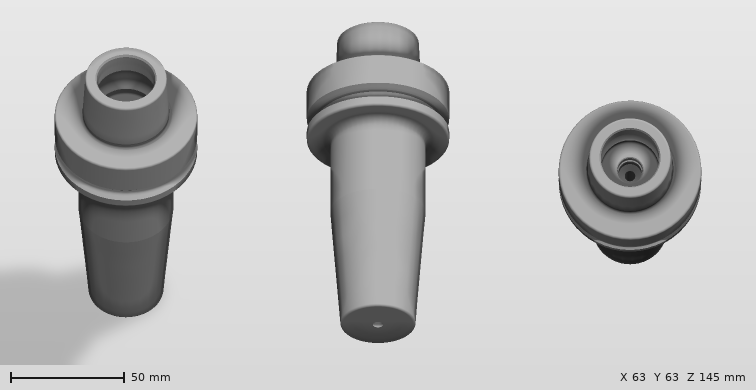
import cadquery as cq
import math

total_length = 145.0
edge_fillet = 1.0

shank_length = 25.0
shank_tip_radius = 18.0
shank_base_radius = 19.1

relief_start_height = 2.2
relief_neck_height = 1.3
relief_neck_radius = 19.0
relief_fillet = 0.7
relief_depth = 0.3
relief_outer_radius = 20.5

flange_radius = 31.5
flange_thickness = 26.0
groove_center_depth = 18.1
groove_mouth_width = 7.0
groove_flank_angle = math.radians(30)
groove_shoulder_radius = 28.5
groove_floor_radius = 27.4
groove_floor_width = 2.9

body_radius = 21.0
body_fillet = 3.0
nose_cone_height = 57.3
nose_tip_radius = 16.5

bore_mouth_radius = 13.5
bore_mouth_depth = 1.0
bore_radius = 12.9
bore_straight_depth = 10.2
recess_radius = 16.0
recess_wall_depth = 19.7
bore_depth = 26.1
bore_fillet = 0.9

pocket_mouth_radius = 6.1
pocket_radius = 5.7
pocket_depth = 4.4
drill_radius = 5.1
drill_depth = 5.8
drill_point_angle = math.radians(59)
coolant_radius = 2.3

flange_top = total_length - shank_length
flange_bottom = flange_top - flange_thickness
groove_center = flange_top - groove_center_depth
groove_mouth_half = groove_mouth_width / 2
groove_floor_half = groove_floor_width / 2
groove_flank_rise = (flange_radius - groove_shoulder_radius) * math.tan(groove_flank_angle)
groove_shoulder_half = groove_mouth_half - groove_flank_rise
recess_wall_bottom = total_length - recess_wall_depth
recess_fillet = recess_radius - bore_radius
bore_floor = total_length - bore_depth


def arc_middle(center, arc_radius, radial_side, height_side):
    """Middle of a quarter arc; each side is +1 or -1, outward or inward and up or down."""
    offset = arc_radius * math.sqrt(0.5)
    return (center[0] + radial_side * offset, center[1] + height_side * offset)


def revolve_about_axis(profile):
    return profile.revolve(360, (0, 0, 0), (0, 1, 0))


def make_outside():
    """Revolve the outer outline from the nose up to the shank tip, then round both end rims."""
    body_fillet_center = (body_radius + body_fillet, flange_bottom - body_fillet)
    rim_radius = flange_radius - edge_fillet
    lower_rim_center = (rim_radius, flange_bottom + edge_fillet)
    upper_rim_center = (rim_radius, flange_top - edge_fillet)
    relief_floor = flange_top - relief_depth
    relief_fillet_center = (relief_neck_radius + relief_fillet, relief_floor + relief_fillet)
    profile = (
        cq.Workplane("XZ")
        .moveTo(0, 0)
        .lineTo(nose_tip_radius, 0)
        .lineTo(body_radius, nose_cone_height)
        .lineTo(body_radius, body_fillet_center[1])
        .threePointArc(
            arc_middle(body_fillet_center, body_fillet, -1, 1),
            (body_fillet_center[0], flange_bottom),
        )
        .lineTo(rim_radius, flange_bottom)
        .threePointArc(
            arc_middle(lower_rim_center, edge_fillet, 1, -1),
            (flange_radius, lower_rim_center[1]),
        )
        .lineTo(flange_radius, groove_center - groove_mouth_half)
        .lineTo(groove_shoulder_radius, groove_center - groove_shoulder_half)
        .lineTo(groove_floor_radius, groove_center - groove_floor_half)
        .lineTo(groove_floor_radius, groove_center + groove_floor_half)
        .lineTo(groove_shoulder_radius, groove_center + groove_shoulder_half)
        .lineTo(flange_radius, groove_center + groove_mouth_half)
        .lineTo(flange_radius, upper_rim_center[1])
        .threePointArc(
            arc_middle(upper_rim_center, edge_fillet, 1, 1),
            (rim_radius, flange_top),
        )
        .lineTo(relief_outer_radius, flange_top)
        .lineTo(relief_fillet_center[0], relief_floor)
        .threePointArc(
            arc_middle(relief_fillet_center, relief_fillet, -1, -1),
            (relief_neck_radius, relief_fillet_center[1]),
        )
        .lineTo(relief_neck_radius, flange_top + relief_neck_height)
        .lineTo(shank_base_radius, flange_top + relief_start_height)
        .lineTo(shank_tip_radius, total_length)
        .lineTo(0, total_length)
        .close()
    )
    return revolve_about_axis(profile).faces("<Z or >Z").edges().fillet(edge_fillet)


def make_inside():
    """Revolve the coolant hole, the pocket and the recessed bore, from the nose upward."""
    bore_fillet_center = (bore_radius - bore_fillet, bore_floor + bore_fillet)
    recess_fillet_center = (bore_radius, recess_wall_bottom)
    pocket_chamfer = pocket_mouth_radius - pocket_radius
    pocket_floor = bore_floor - pocket_depth
    drill_bottom = pocket_floor - drill_depth
    drill_point_length = (drill_radius - coolant_radius) / math.tan(drill_point_angle)
    profile = (
        cq.Workplane("XZ")
        .moveTo(0, 0)
        .lineTo(coolant_radius, 0)
        .lineTo(coolant_radius, drill_bottom - drill_point_length)
        .lineTo(drill_radius, drill_bottom)
        .lineTo(drill_radius, pocket_floor)
        .lineTo(pocket_radius, pocket_floor)
        .lineTo(pocket_radius, bore_floor - pocket_chamfer)
        .lineTo(pocket_mouth_radius, bore_floor)
        .lineTo(bore_fillet_center[0], bore_floor)
        .threePointArc(
            arc_middle(bore_fillet_center, bore_fillet, 1, -1),
            (bore_radius, bore_fillet_center[1]),
        )
        .lineTo(bore_radius, recess_wall_bottom - recess_fillet)
        .threePointArc(
            arc_middle(recess_fillet_center, recess_fillet, 1, -1),
            (recess_radius, recess_wall_bottom),
        )
        .lineTo(recess_radius, total_length - bore_straight_depth)
        .lineTo(bore_radius, total_length - bore_straight_depth)
        .lineTo(bore_radius, total_length - bore_mouth_depth)
        .lineTo(bore_mouth_radius, total_length)
        .lineTo(0, total_length)
        .close()
    )
    return revolve_about_axis(profile)


result = make_outside().cut(make_inside())